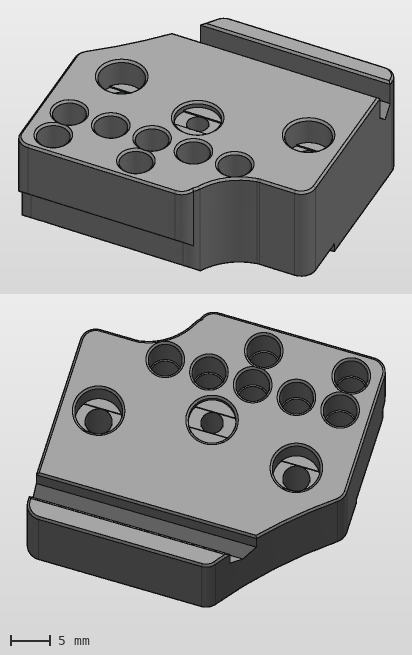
import cadquery as cq
import math

WIDTH = 38.0
DEPTH = 33.0
HEIGHT = 15.5
CORNER_RADIUS = 2.0
TOP_CHAMFER = 0.3
BOTTOM_CHAMFER = 0.25

FLANK_SIDE_Y = 19.1
FLANK_REAR_X = 13.55
FLANK_RADIUS = 64.0

FRONT_Y = 1.0
RELIEF_RADIUS = 8.0
RELIEF_CENTER_X = 32.1
RELIEF_END_X = 31.0
RELIEF_END_Y = 6.5

LIP_BOTTOM_Z = 7.5

STEP_Y = 14.0
STEP_HEIGHT = 1.5
TOE_CHAMFER = 1.2

GROOVE_Y = 28.9
GROOVE_WIDTH = 3.0
GROOVE_DEPTH = 5.0

PIN_BORE_DIAMETER = 4.25
PIN_THROUGH_DIAMETER = 3.85
PIN_BORE_DEPTH = 6.0
PIN_FIRST_X = 4.0
PIN_PITCH = 5.75
PIN_ROWS = (
    (8.0, (0, 1, 2, 3, 4)),
    (3.25, (0, 2)),
)

SCREW_HEAD_DIAMETER = 6.0
SCREW_SLOT_DEPTH = 0.2
SCREWS = (
    (7.0, 17.0, 3.4, 3.9),
    (33.0, 17.0, 3.4, 3.9),
    (19.0, STEP_Y, 2.8, 0.9),
)


relief_center_y = RELIEF_END_Y - math.sqrt(RELIEF_RADIUS**2 - (RELIEF_END_X - RELIEF_CENTER_X) ** 2)
front_corner_x = RELIEF_CENTER_X - math.sqrt(RELIEF_RADIUS**2 - (FRONT_Y - relief_center_y) ** 2)


def main_body():
    """Full-height block behind the front face, with rounded corners."""
    prism = (
        cq.Workplane("XY")
        .moveTo(0, FRONT_Y)
        .lineTo(front_corner_x, FRONT_Y)
        .radiusArc((RELIEF_END_X, RELIEF_END_Y), RELIEF_RADIUS)
        .lineTo(WIDTH, RELIEF_END_Y)
        .lineTo(WIDTH, DEPTH)
        .lineTo(FLANK_REAR_X, DEPTH)
        .radiusArc((0, FLANK_SIDE_Y), FLANK_RADIUS)
        .close()
        .extrude(HEIGHT)
    )
    rounded = prism.edges("|Z").fillet(CORNER_RADIUS)
    return rounded.faces(">Z").edges().chamfer(TOP_CHAMFER)


def profile_along_x(points):
    """Prism over the whole width from a profile of (y, z) points."""
    return cq.Workplane("YZ").polyline(points).close().extrude(WIDTH)


def front_lip():
    """Round-cornered lip in front of the upper body, sloping back underneath."""
    reach = FRONT_Y + CORNER_RADIUS
    footprint = (
        cq.Workplane("XY")
        .rect(front_corner_x, reach, centered=False)
        .extrude(HEIGHT)
        .edges("|Z and <Y")
        .fillet(CORNER_RADIUS)
    )
    profile = profile_along_x([
        (0, LIP_BOTTOM_Z),
        (reach, LIP_BOTTOM_Z - reach),
        (reach, HEIGHT),
        (0, HEIGHT),
    ])
    lip = footprint.intersect(profile)
    return lip.faces(">Z").edges("not >Y").chamfer(TOP_CHAMFER)


def underside_step():
    """Step in front of the base plate, with a 45 degree toe at the lower front edge."""
    toe_y = FRONT_Y + TOE_CHAMFER
    return profile_along_x([
        (0, 0),
        (STEP_Y, 0),
        (STEP_Y, STEP_HEIGHT),
        (toe_y, STEP_HEIGHT),
        (0, STEP_HEIGHT + toe_y),
    ])


def top_groove():
    """Straight-walled groove with a chamfered mouth and a 90 degree V at the bottom."""
    half_width = GROOVE_WIDTH / 2
    wall_bottom_z = HEIGHT - GROOVE_DEPTH + half_width
    return profile_along_x([
        (GROOVE_Y - half_width - TOP_CHAMFER, HEIGHT),
        (GROOVE_Y - half_width, HEIGHT - TOP_CHAMFER),
        (GROOVE_Y - half_width, wall_bottom_z),
        (GROOVE_Y, HEIGHT - GROOVE_DEPTH),
        (GROOVE_Y + half_width, wall_bottom_z),
        (GROOVE_Y + half_width, HEIGHT - TOP_CHAMFER),
        (GROOVE_Y + half_width + TOP_CHAMFER, HEIGHT),
    ])


def stepped_hole(x, y, bore_diameter, bore_depth, through_diameter):
    """Through hole with a wider bore and a chamfered mouth at the top."""
    bore_radius = bore_diameter / 2
    through_radius = through_diameter / 2
    shoulder_z = HEIGHT - bore_depth
    return (
        cq.Workplane("XZ")
        .polyline([
            (0, 0),
            (through_radius, 0),
            (through_radius, shoulder_z),
            (bore_radius, shoulder_z),
            (bore_radius, HEIGHT - TOP_CHAMFER),
            (bore_radius + TOP_CHAMFER, HEIGHT),
            (0, HEIGHT),
        ])
        .close()
        .revolve(360, (0, 0), (0, 1))
        .translate((x, y, 0))
    )


def screw_hole(x, y, through_diameter, head_depth):
    """Counterbored hole whose floor has a shallow slot as wide as the through hole."""
    slot_floor_z = HEIGHT - head_depth - SCREW_SLOT_DEPTH
    slot = (
        cq.Workplane("XY", origin=(x, y, slot_floor_z))
        .circle(SCREW_HEAD_DIAMETER / 2)
        .extrude(SCREW_SLOT_DEPTH)
        .intersect(
            cq.Workplane("XY", origin=(x, y, slot_floor_z))
            .rect(SCREW_HEAD_DIAMETER, through_diameter)
            .extrude(SCREW_SLOT_DEPTH)
        )
    )
    return stepped_hole(x, y, SCREW_HEAD_DIAMETER, head_depth, through_diameter).union(slot)


def screw_exit_chamfer(x, y, through_diameter):
    """Cone that breaks the lower edge of a screw hole."""
    mouth_radius = through_diameter / 2 + BOTTOM_CHAMFER
    return cq.Workplane("XY").add(
        cq.Solid.makeCone(mouth_radius, through_diameter / 2, BOTTOM_CHAMFER, cq.Vector(x, y, 0))
    )


body = main_body().union(front_lip(), clean=True)
body = body.cut(underside_step()).cut(top_groove())
body = body.faces("<Z").edges().chamfer(BOTTOM_CHAMFER)

for row_y, columns in PIN_ROWS:
    for column in columns:
        pin_x = PIN_FIRST_X + column * PIN_PITCH
        pin_hole = stepped_hole(pin_x, row_y, PIN_BORE_DIAMETER, PIN_BORE_DEPTH, PIN_THROUGH_DIAMETER)
        body = body.cut(pin_hole)

for screw_x, screw_y, screw_diameter, head_depth in SCREWS:
    body = body.cut(screw_hole(screw_x, screw_y, screw_diameter, head_depth))
    body = body.cut(screw_exit_chamfer(screw_x, screw_y, screw_diameter))

result = body